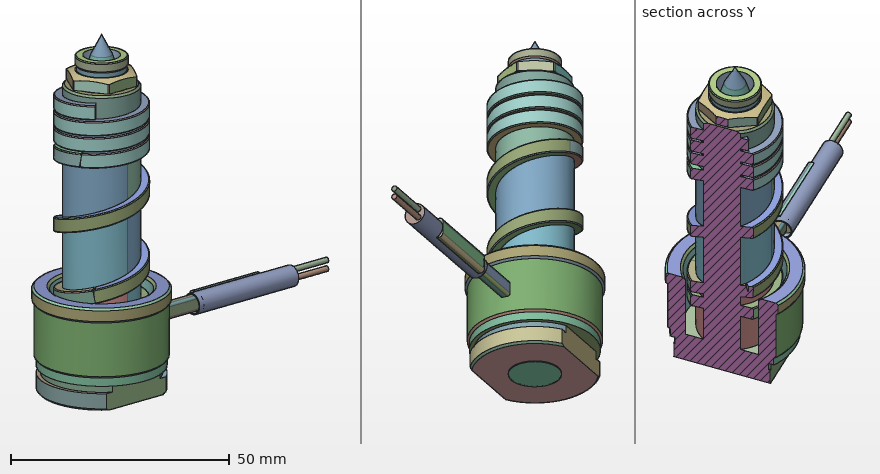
import cadquery as cq
import math

foot_radius = 6.1
foot_height = 0.25
base_radius = 15.0
base_edge_chamfer = 0.5
wrench_groove_radius = 14.0
wrench_groove_bottom = 4.4
wrench_groove_top = 6.2
wrench_flat_width = 24.0
barrel_radius = 15.5
barrel_bottom = 8.2
flange_radius = 16.0
flange_bottom = 22.2
housing_top = 25.3
pocket_radius = 11.9
pocket_chamfer = 0.6
pocket_floor = barrel_bottom

column_radius = 9.0
column_top = 74.3
column_top_chamfer = 0.5
under_hex_radius = 6.9

hex_across_flats = 14.9
hex_corner_radius = 8.5
hex_bottom = 74.6
hex_shoulder = 76.9
hex_top = 77.7
neck_radius = 5.8
collar_radius = 6.1
collar_bottom = 78.8
collar_top = 81.25
collar_top_chamfer = 0.25
collar_bottom_chamfer = 0.4
nozzle_bore_radius = 4.3
nozzle_bore_floor = 75.5

pin_top = 86.2
pin_cone_base = 81.4
pin_radius = 2.5

rib_outer_radius = 11.0
rib_root_radius = column_radius - 0.5
rib_height = 3.5
rib_chamfer = 0.25
rib_top_center = 70.9
rib_top_angle = -49.0
close_pitch = 3.9
open_pitch = 18.0
upper_close_sweep = 1098.0
blend_sweep = 128.0
open_sweep = 575.0
lower_close_sweep = 360.0
blend_angle_step = 15.0

cable_z = 14.55
cable_width = 2.45
cable_height = 3.8
cable_corner_radius = 0.65
cable_x = -0.68
cable_root_y = 14.0
sleeve_diameter = 5.1
sleeve_bore_diameter = 4.5
sleeve_bore_depth = 1.5
sleeve_z = 14.65
sleeve_start_y = 27.5
sleeve_length = 30.0
label_start_y = 29.0
label_end_y = 48.9
label_inner_x = -1.0
label_outer_x = -2.6
label_height = 4.9
label_edge_radius = 0.9
wire_diameter = 1.35
wire_spacing = 2.1
wire_x = -0.9
wire_end_y = 69.0


def revolve_profile(points):
    """Revolve a closed (radius, Z) outline about the Z axis."""
    return cq.Workplane("XZ").polyline(points).close().revolve(360, (0, 0), (0, 1))


def cylinder(radius, bottom, top):
    return cq.Workplane("XY").workplane(offset=bottom).circle(radius).extrude(top - bottom)


def make_housing():
    flange_edge = flange_radius - barrel_radius
    barrel_edge = barrel_radius - base_radius
    body = revolve_profile([
        (0, foot_height),
        (base_radius - base_edge_chamfer, foot_height),
        (base_radius, foot_height + base_edge_chamfer),
        (base_radius, wrench_groove_bottom),
        (wrench_groove_radius, wrench_groove_bottom),
        (wrench_groove_radius, wrench_groove_top),
        (base_radius, wrench_groove_top),
        (base_radius, barrel_bottom),
        (barrel_radius, barrel_bottom + barrel_edge),
        (barrel_radius, flange_bottom - flange_edge),
        (flange_radius, flange_bottom),
        (flange_radius, housing_top - flange_edge),
        (flange_radius - flange_edge, housing_top),
        (0, housing_top),
    ])
    side_cut = base_radius - wrench_flat_width / 2
    for side in (-1, 1):
        body = body.cut(
            cq.Workplane("XY")
            .center(side * (wrench_flat_width + side_cut) / 2, 0)
            .rect(side_cut, 2 * base_radius)
            .extrude(wrench_groove_top)
        )
    body = body.cut(cylinder(pocket_radius, pocket_floor, housing_top))
    body = body.cut(revolve_profile([
        (0, housing_top - pocket_chamfer),
        (pocket_radius, housing_top - pocket_chamfer),
        (pocket_radius + pocket_chamfer, housing_top),
        (0, housing_top),
    ]))
    return body.union(cylinder(foot_radius, 0, pocket_floor))


def make_column():
    column = cylinder(column_radius, pocket_floor, column_top)
    column = column.faces(">Z").edges().chamfer(column_top_chamfer)
    return column.union(cylinder(under_hex_radius, pocket_floor, hex_bottom))


def rib_section():
    """Cross-section of the rib, standing in the XZ plane at angle and height zero."""
    half = rib_height / 2
    return cq.Workplane("XZ").polyline([
        (rib_root_radius, -half),
        (rib_outer_radius - rib_chamfer, -half),
        (rib_outer_radius, -half + rib_chamfer),
        (rib_outer_radius, half - rib_chamfer),
        (rib_outer_radius - rib_chamfer, half),
        (rib_root_radius, half),
    ]).close()


def rib_rise(sweep, start_pitch, end_pitch):
    """Height gained over `sweep` degrees while the pitch changes evenly."""
    return (start_pitch + end_pitch) / 2 * sweep / 360


def even_rib(sweep, pitch):
    """Rib of constant pitch, climbing counterclockwise from angle and height zero."""
    helix = cq.Wire.makeHelix(pitch, rib_rise(sweep, pitch, pitch), rib_outer_radius)
    return rib_section().sweep(cq.Workplane(helix), isFrenet=True)


def blend_rib(sweep, start_pitch, end_pitch):
    """Rib whose pitch changes evenly, climbing counterclockwise from angle and height zero."""
    steps = math.ceil(sweep / blend_angle_step)

    def curve(radius):
        points = []
        for i in range(steps + 1):
            turned = sweep * i / steps
            pitch = start_pitch + (end_pitch - start_pitch) * i / steps
            x = radius * math.cos(math.radians(turned))
            y = radius * math.sin(math.radians(turned))
            points.append((x, y, rib_rise(turned, start_pitch, pitch)))
        return cq.Workplane("XY").spline(points)

    return rib_section().sweep(curve(rib_outer_radius), auxSpine=curve(rib_root_radius))


def add_rib(body):
    """Join the rib to the body, stretch by stretch from its upper end down."""
    angle = rib_top_angle
    center = rib_top_center
    stretches = [
        (upper_close_sweep, close_pitch, close_pitch),
        (blend_sweep, open_pitch, close_pitch),
        (open_sweep, open_pitch, open_pitch),
        (blend_sweep, close_pitch, open_pitch),
        (lower_close_sweep, close_pitch, close_pitch),
    ]
    for sweep, start_pitch, end_pitch in stretches:
        angle -= sweep
        center -= rib_rise(sweep, start_pitch, end_pitch)
        if start_pitch == end_pitch:
            stretch = even_rib(sweep, start_pitch)
        else:
            stretch = blend_rib(sweep, start_pitch, end_pitch)
        placed = stretch.rotate((0, 0, 0), (0, 0, 1), angle).translate((0, 0, center))
        body = body.union(placed)
    return body


def make_nozzle():
    hexagon = (
        cq.Workplane("XY").workplane(offset=hex_bottom)
        .polygon(6, hex_across_flats, circumscribed=True)
        .extrude(hex_top - hex_bottom)
    )
    hexagon = hexagon.intersect(revolve_profile([
        (0, hex_bottom),
        (hex_corner_radius, hex_bottom),
        (hex_corner_radius, hex_shoulder),
        (collar_radius, hex_top),
        (0, hex_top),
    ]))
    collar = revolve_profile([
        (0, hex_bottom),
        (neck_radius, hex_bottom),
        (neck_radius, collar_bottom),
        (collar_radius, collar_bottom + collar_bottom_chamfer),
        (collar_radius, collar_top - collar_top_chamfer),
        (collar_radius - collar_top_chamfer, collar_top),
        (0, collar_top),
    ])
    nozzle = hexagon.union(collar)
    nozzle = nozzle.cut(cylinder(nozzle_bore_radius, nozzle_bore_floor, collar_top))
    pin = revolve_profile([
        (0, hex_bottom),
        (nozzle_bore_radius, hex_bottom),
        (nozzle_bore_radius, nozzle_bore_floor),
        (pin_radius, pin_cone_base),
        (0, pin_top),
    ])
    return nozzle.union(pin)


def rod_along_y(x, z, diameter, start_y, end_y):
    return (
        cq.Workplane("XZ", origin=(x, start_y, z))
        .circle(diameter / 2)
        .extrude(start_y - end_y)
    )


def make_cable():
    sleeve_end_y = sleeve_start_y + sleeve_length
    bore_end_y = sleeve_start_y + sleeve_bore_depth
    sleeve = rod_along_y(0, sleeve_z, sleeve_diameter, sleeve_start_y, sleeve_end_y)
    label = (
        cq.Workplane("XY")
        .box(label_inner_x - label_outer_x, label_end_y - label_start_y, label_height)
        .edges("|Y and <X").fillet(label_edge_radius)
        .translate(((label_inner_x + label_outer_x) / 2, (label_start_y + label_end_y) / 2, sleeve_z))
    )
    bore = rod_along_y(0, sleeve_z, sleeve_bore_diameter, sleeve_start_y, bore_end_y)
    flat_cable = (
        cq.Workplane("XZ", origin=(cable_x, cable_root_y, cable_z))
        .rect(cable_width, cable_height)
        .extrude(cable_root_y - bore_end_y)
        .edges("|Y").fillet(cable_corner_radius)
    )
    cable = sleeve.union(label).cut(bore).union(flat_cable)
    for side in (-1, 1):
        wire_z = cable_z + side * wire_spacing / 2
        cable = cable.union(rod_along_y(wire_x, wire_z, wire_diameter, bore_end_y, wire_end_y))
    return cable


result = (
    add_rib(make_column())
    .union(make_housing())
    .union(make_nozzle())
    .union(make_cable())
)